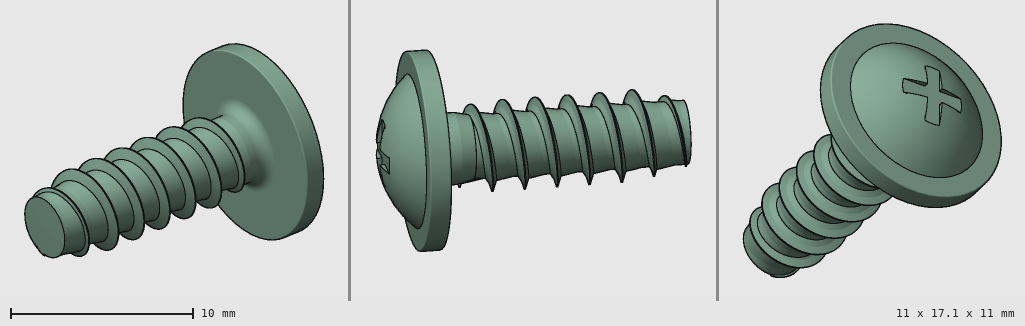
import cadquery as cq
import math


flange_radius = 5.5
flange_thickness = 1.18
flange_edge_radius = 0.08
dome_base_radius = 4.25
head_height = 3.13
recess_width = 0.93
recess_floor_height = 2.80

shank_length = 14.0
tip_cone_radius = 1.64
tip_cone_height = 0.03
neck_radius = 1.98
neck_fillet_radius = 0.7
neck_end = -1.23
neck_taper_end = -2.05
neck_taper_radius = 1.80
core_radius = 1.76

buried_radius = 1.5
crest_radius = 2.5
pitch = 1.8
full_thread_start = -2.75
full_thread_start_angle = math.pi
run_in_turns = 0.85
full_turns = 4.75
run_out_turns = 1.5
fade_drop_per_turn = 0.45
flare_turns = 5.5
flare_run_out_turns = 0.5
flare_run_out_drop = 0.2
points_per_turn = 8

crest_half_width = 0.03
flank_break_radius = 2.09
flank_break_offset = 0.14
head_flank_root_offset = 0.49
tip_flank_root_offset = -0.43

flare_peak_radius = 1.95
flare_head_offset = 0.10
flare_peak_offset = -0.10
flare_end_radius = 1.725
flare_end_offset = -1.37

fin_section = [
    (buried_radius, head_flank_root_offset),
    (flank_break_radius, flank_break_offset),
    (crest_radius, crest_half_width),
    (crest_radius, -crest_half_width),
    (buried_radius, tip_flank_root_offset),
]
flare_section = [
    (buried_radius, flare_head_offset),
    (flare_peak_radius, flare_peak_offset),
    (flare_end_radius, flare_end_offset),
    (buried_radius, flare_end_offset),
]


def make_head_and_shank():
    """Revolve the dome, flange, neck and core about the Y axis."""
    dome_height = head_height - flange_thickness
    dome_radius = (dome_base_radius**2 + dome_height**2) / (2 * dome_height)
    half_sweep = math.asin(dome_base_radius / dome_radius) / 2
    dome_mid = (
        dome_radius * math.sin(half_sweep),
        head_height - dome_radius * (1 - math.cos(half_sweep)),
    )
    fillet_offset = neck_fillet_radius * (1 - math.sqrt(0.5))
    edge = flange_edge_radius
    return (
        cq.Workplane("XY")
        .moveTo(0, head_height)
        .threePointArc(dome_mid, (dome_base_radius, flange_thickness))
        .lineTo(flange_radius - edge, flange_thickness)
        .radiusArc((flange_radius, flange_thickness - edge), edge)
        .lineTo(flange_radius, edge)
        .radiusArc((flange_radius - edge, 0), edge)
        .lineTo(neck_radius + neck_fillet_radius, 0)
        .threePointArc(
            (neck_radius + fillet_offset, -fillet_offset),
            (neck_radius, -neck_fillet_radius),
        )
        .lineTo(neck_radius, neck_end)
        .lineTo(neck_taper_radius, neck_taper_end)
        .lineTo(core_radius, neck_taper_end)
        .lineTo(core_radius, -shank_length)
        .lineTo(tip_cone_radius, -shank_length)
        .lineTo(0, -shank_length - tip_cone_height)
        .close()
        .revolve(360, (0, 0, 0), (0, 1, 0))
    )


def helix_point(radius, offset, turn):
    """Point on the thread, with turns counted from the start of the full thread."""
    angle = full_thread_start_angle + 2 * math.pi * turn
    height = full_thread_start - pitch * turn + offset
    return cq.Vector(radius * math.cos(angle), height, radius * math.sin(angle))


def helix_edge(radius, offset, turn_range, drop_range):
    """Helical edge whose radius is reduced by a drop that varies evenly along it."""
    first, last = turn_range
    first_drop, last_drop = drop_range
    steps = math.ceil((last - first) * points_per_turn)
    points = []
    for i in range(steps + 1):
        share = i / steps
        turn = first + (last - first) * share
        drop = first_drop + (last_drop - first_drop) * share
        points.append(helix_point(radius - drop, offset, turn))
    return cq.Edge.makeSpline(points)


def end_cap(edges, at_end):
    """Flat face across one end of a set of helical edges."""
    corners = [edge.endPoint() if at_end else edge.startPoint() for edge in edges]
    return cq.Face.makeFromWires(cq.Wire.makePolygon(corners, close=True))


def make_helical_solid(section, turn_range, drop_range=(0, 0)):
    """Solid swept by a section along the thread helix."""
    edges = [helix_edge(radius, offset, turn_range, drop_range) for radius, offset in section]
    faces = [end_cap(edges, False), end_cap(edges, True)]
    for edge, next_edge in zip(edges, edges[1:] + edges[:1]):
        faces.append(cq.Face.makeRuledSurface(edge, next_edge))
    solid = cq.Solid.makeSolid(cq.Shell.makeShell(faces))
    return cq.Workplane(solid.fix())


def trim_past_tip(thread_piece):
    """Remove thread material that reaches past the rim of the tip."""
    trim = cq.Workplane("XZ", origin=(0, -shank_length, 0)).circle(flange_radius).extrude(2 * pitch)
    return thread_piece.cut(trim, clean=False)


def make_thread():
    """Fin that rises out of the neck and fades out at the tip, and the flare beside it."""
    thread_end = full_turns + run_out_turns
    run_in_drop = fade_drop_per_turn * run_in_turns
    run_out_drop = fade_drop_per_turn * run_out_turns
    run_in = make_helical_solid(fin_section, (-run_in_turns, 0), (run_in_drop, 0))
    full = make_helical_solid(fin_section, (0, full_turns))
    run_out = make_helical_solid(fin_section, (full_turns, thread_end), (0, run_out_drop))
    flare_end = flare_turns + flare_run_out_turns
    flare = make_helical_solid(flare_section, (-run_in_turns, flare_turns))
    flare_run_out = make_helical_solid(
        flare_section, (flare_turns, flare_end), (0, flare_run_out_drop)
    )
    return [
        trim_past_tip(flare),
        trim_past_tip(flare_run_out),
        full,
        run_in,
        trim_past_tip(run_out),
    ]


def cut_cross_recess(body):
    """Cut two crossing slots into the top of the dome."""
    depth = head_height - recess_floor_height
    centre_height = recess_floor_height + depth / 2
    slot = cq.Workplane("XY").box(2 * flange_radius, depth, recess_width)
    slot = slot.translate((0, centre_height, 0))
    crossing_slot = slot.rotate((0, 0, 0), (0, 1, 0), 90)
    return body.cut(slot).cut(crossing_slot)


result = cut_cross_recess(make_head_and_shank())
for piece in make_thread():
    result = result.union(piece, clean=False)